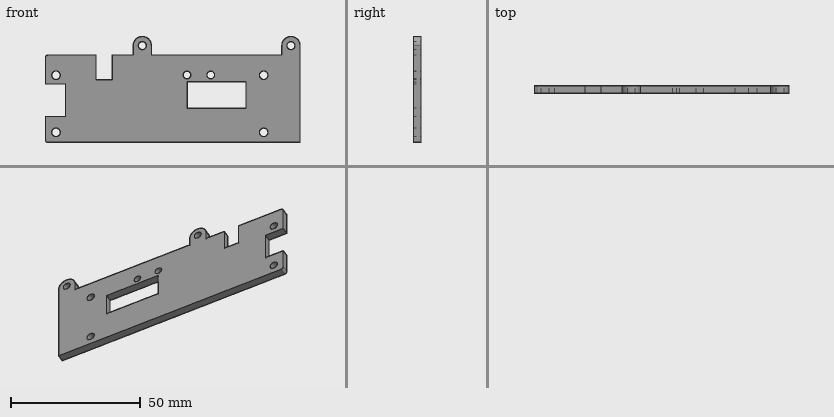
import cadquery as cq

LENGTH = 98.14
TOTAL_HEIGHT = 40.85
PLATE_HEIGHT = 33.7
THICKNESS = 3.0
CORNER_RADIUS = 1.0

EAR_RADIUS = 3.55
EAR_HOLE_DIAMETER = 3.0
EAR_SPACING = 57.25
EAR_CENTER_Z = TOTAL_HEIGHT - EAR_RADIUS
RIGHT_EAR_X = LENGTH - EAR_RADIUS
LEFT_EAR_X = RIGHT_EAR_X - EAR_SPACING

TOP_NOTCH_LEFT = 19.55
TOP_NOTCH_WIDTH = 6.2
TOP_NOTCH_DEPTH = 9.45

SIDE_NOTCH_BOTTOM = 10.05
SIDE_NOTCH_HEIGHT = 12.4
SIDE_NOTCH_DEPTH = 7.75

WINDOW_LEFT = 54.7
WINDOW_BOTTOM = 13.25
WINDOW_WIDTH = 22.5
WINDOW_HEIGHT = 10.1

MOUNT_HOLE_DIAMETER = 3.2
MOUNT_LEFT = 4.1
MOUNT_BOTTOM = 3.9
MOUNT_SPACING_X = 80.0
MOUNT_SPACING_Z = 22.0

SMALL_HOLE_DIAMETER = 2.85
SMALL_HOLE_LEFT = 54.55
SMALL_HOLE_SPACING = 9.15
SMALL_HOLE_Z = 26.0


def block(left, bottom, width, height):
    """Full-thickness rectangular block given by its lower left corner."""
    return cq.Workplane("XY").box(width, THICKNESS, height, centered=False).translate((left, 0, bottom))


def cylinders(centers, diameter):
    """Full-thickness cylinders along Y at the given (x, z) centers."""
    profile = cq.Workplane("XZ").pushPoints(centers).circle(diameter / 2)
    return profile.extrude(-THICKNESS)


def make_plate():
    """Rectangular plate with both left corners rounded."""
    return block(0, 0, LENGTH, PLATE_HEIGHT).edges("|Y and <X").fillet(CORNER_RADIUS)


def make_ear(center_x):
    """Upright ear with a round top, rising from the plate's top edge."""
    stem_height = EAR_CENTER_Z - PLATE_HEIGHT
    stem = block(center_x - EAR_RADIUS, PLATE_HEIGHT, 2 * EAR_RADIUS, stem_height)
    return stem.union(cylinders([(center_x, EAR_CENTER_Z)], 2 * EAR_RADIUS))


def cut_notches(body):
    """Open one notch in the top edge and one in the left edge."""
    top_notch_bottom = PLATE_HEIGHT - TOP_NOTCH_DEPTH
    body = body.cut(block(TOP_NOTCH_LEFT, top_notch_bottom, TOP_NOTCH_WIDTH, TOP_NOTCH_DEPTH))
    return body.cut(block(0, SIDE_NOTCH_BOTTOM, SIDE_NOTCH_DEPTH, SIDE_NOTCH_HEIGHT))


def cut_holes(body):
    """Drill the ear, mounting and small holes through the thickness."""
    ear_centers = [(x, EAR_CENTER_Z) for x in (LEFT_EAR_X, RIGHT_EAR_X)]
    mount_centers = [
        (x, z)
        for x in (MOUNT_LEFT, MOUNT_LEFT + MOUNT_SPACING_X)
        for z in (MOUNT_BOTTOM, MOUNT_BOTTOM + MOUNT_SPACING_Z)
    ]
    small_centers = [(SMALL_HOLE_LEFT + i * SMALL_HOLE_SPACING, SMALL_HOLE_Z) for i in range(2)]
    body = body.cut(cylinders(ear_centers, EAR_HOLE_DIAMETER))
    body = body.cut(cylinders(mount_centers, MOUNT_HOLE_DIAMETER))
    return body.cut(cylinders(small_centers, SMALL_HOLE_DIAMETER))


plate = make_plate()
for ear_x in (LEFT_EAR_X, RIGHT_EAR_X):
    plate = plate.union(make_ear(ear_x))
plate = cut_notches(plate)
plate = plate.cut(block(WINDOW_LEFT, WINDOW_BOTTOM, WINDOW_WIDTH, WINDOW_HEIGHT))
plate = cut_holes(plate)

result = plate.clean()